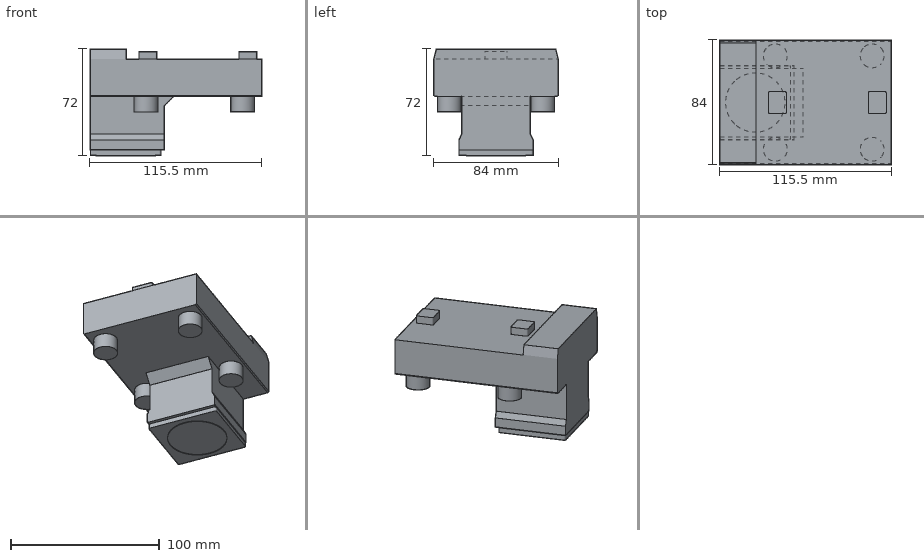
import cadquery as cq

total_height = 72.0
plate_length = 115.5
plate_width = 84.0
plate_top = total_height - 6.8
plate_bottom = total_height - 31.9
plate_edge_chamfer = 0.8

lip_length = 24.4
lip_taper = 1.7

stem_length = 49.9
stem_width = 46.2
gusset = 6.2
foot_width = 50.1
flare_top = 14.9
flare_bottom = 10.7
foot_bottom = 3.9
foot_edge_chamfer = 0.3

sole_setback = 0.1
sole_length = 47.6
sole_corner_radius = 1.3
disc_diameter = 40.0
disc_thickness = 0.5

key_length = 12.1
key_width = 14.8
key_height = 5.2
key_corner_radius = 0.9
key_centers = [38.8, 106.0]

pin_diameter = 16.0
pin_length = 10.4
pin_centers_x = [37.4, 102.6]
pin_offset_y = 31.4


def box(length, width, bottom, top):
    """Block starting at X = 0 and centred on Y."""
    return (
        cq.Workplane("XY", origin=(0, 0, bottom))
        .box(length, width, top - bottom, centered=(False, True, False))
    )


def extrude_section(right_half, length):
    """Extrude a Y-Z half outline, mirrored about Y = 0, along +X."""
    left_half = [(-y, z) for y, z in reversed(right_half)]
    return cq.Workplane("YZ").polyline(right_half + left_half).close().extrude(length)


def make_plate():
    plate = box(plate_length, plate_width, plate_bottom, plate_top)
    return plate.edges("|X and <Z").chamfer(plate_edge_chamfer)


def make_lip():
    half_width = plate_width / 2
    return extrude_section(
        [(half_width, plate_top), (half_width - lip_taper, total_height)], lip_length
    )


def make_stem():
    stem = extrude_section(
        [
            (foot_width / 2 - foot_edge_chamfer, foot_bottom),
            (foot_width / 2, foot_bottom + foot_edge_chamfer),
            (foot_width / 2, flare_bottom),
            (stem_width / 2, flare_top),
            (stem_width / 2, plate_bottom),
        ],
        stem_length,
    )
    gusset_wedge = (
        cq.Workplane("XZ")
        .moveTo(stem_length, plate_bottom)
        .lineTo(stem_length + gusset, plate_bottom)
        .lineTo(stem_length, plate_bottom - gusset)
        .close()
        .extrude(stem_width / 2, both=True)
    )
    return stem.union(gusset_wedge)


def make_sole():
    sole = box(sole_length, foot_width, disc_thickness, foot_bottom)
    sole = sole.edges("|Z").fillet(sole_corner_radius)
    sole = sole.translate((sole_setback, 0, 0))
    disc = (
        cq.Workplane("XY")
        .center(sole_setback + sole_length / 2, 0)
        .circle(disc_diameter / 2)
        .extrude(disc_thickness)
    )
    return sole.union(disc)


def make_keys():
    return (
        cq.Workplane("XY", origin=(0, 0, plate_top))
        .pushPoints([(x, 0) for x in key_centers])
        .rect(key_length, key_width)
        .extrude(key_height)
        .edges("|Z")
        .fillet(key_corner_radius)
    )


def make_pins():
    return (
        cq.Workplane("XY", origin=(0, 0, plate_bottom))
        .pushPoints([(x, side * pin_offset_y) for x in pin_centers_x for side in (-1, 1)])
        .circle(pin_diameter / 2)
        .extrude(-pin_length)
    )


result = (
    make_plate()
    .union(make_lip())
    .union(make_stem())
    .union(make_sole())
    .union(make_keys())
    .union(make_pins())
    .clean()
)